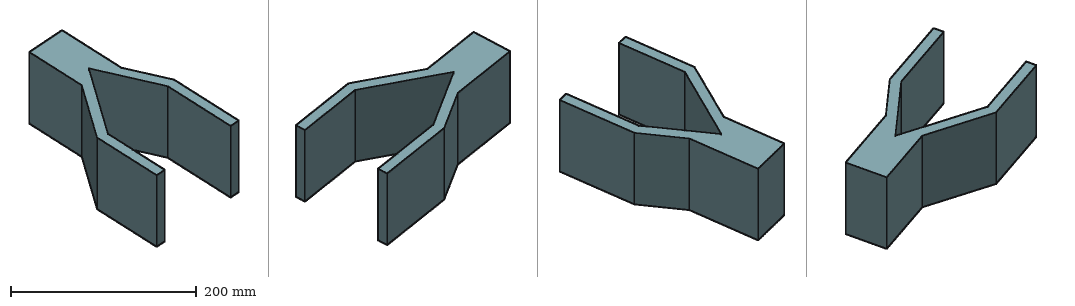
import cadquery as cq
import math

length = 241.3
width = 127.0
height = 101.5

stem_half_width = height / 4
wall = stem_half_width / 2

fork_corner_x = 65.0
upper_reach = height / 2
lower_reach = width - upper_reach
upper_angle = 25.0
lower_angle = 35.0


def inner_x(y_distance, angle):
    """X on an arm's inner face at a distance from the X axis."""
    return fork_corner_x + y_distance / math.tan(math.radians(angle))


def outer_x(y_distance, angle):
    """X on an arm's outer face, one wall thickness away from the inner face."""
    return inner_x(y_distance, angle) - wall / math.sin(math.radians(angle))


def arm_points(reach, angle, side):
    """Outline of one arm from the stem to the inside bend; side is +1 or -1 along Y."""
    inner_reach = reach - wall
    return [
        (0, side * stem_half_width),
        (outer_x(stem_half_width, angle), side * stem_half_width),
        (outer_x(reach, angle), side * reach),
        (length, side * reach),
        (length, side * inner_reach),
        (inner_x(inner_reach, angle), side * inner_reach),
    ]


upper_arm = arm_points(upper_reach, upper_angle, 1)
lower_arm = arm_points(lower_reach, lower_angle, -1)
outline = upper_arm + [(fork_corner_x, 0)] + lower_arm[::-1]

result = cq.Workplane("XY").polyline(outline).close().extrude(height)